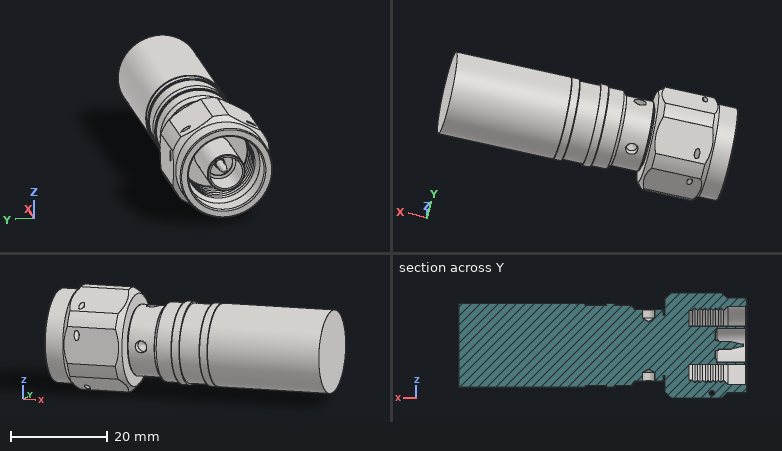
import cadquery as cq
import math

TOTAL_LENGTH = 59.95

COLLAR_RADIUS = 9.9
COLLAR_LENGTH = 4.1
COLLAR_EDGE = 0.25
HEX_ACROSS_FLATS = 20.55
HEX_ACROSS_CORNERS = 22.0
HEX_CORNER_RADIUS = HEX_ACROSS_CORNERS / 2
HEX_REAR = 17.0
FRONT_CHAMFER = HEX_CORNER_RADIUS - COLLAR_RADIUS
REAR_CHAMFER = 1.25

WIRE_HOLE_DIAMETER = 1.1
WIRE_HOLE_X = 7.25
WIRE_HOLE_OFFSET = 9.95
WIRE_HOLE_ANGLES = (30, 150, 270)

MOUTH_RADIUS = 8.4
MOUTH_CHAMFER = 0.3
BORE_LENGTH = 3.95
THREAD_LEAD_IN = 0.35
THREAD_MAJOR_RADIUS = 7.75
THREAD_MINOR_RADIUS = 7.25
THREAD_PITCH = 1.1
THREAD_TURNS = 6
CAVITY_DEPTH = 12.0

TUBE_FRONT = 0.25
TUBE_RADIUS = 4.0
TUBE_EDGE = 0.2
TUBE_BORE_RADIUS = 3.5
TUBE_BORE_DEPTH = 6.0
INSULATOR_RADIUS = 2.8
INSULATOR_RECESS = 0.3
PIN_FRONT = 0.7
PIN_TIP_RADIUS = 0.25
PIN_RADIUS = 0.85
PIN_TAPER_LENGTH = 2.7
PIN_BASE_RADIUS = 1.1
PIN_BASE_LENGTH = 0.6

GAP_RADIUS = 6.3
GAP_WIDTH = 0.35
NECK_RADIUS = 7.5
NECK_EDGE = 0.25
NECK_END = 23.4
BARREL_RADIUS = 8.4
BARREL_FRONT_RADIUS = 7.6
BARREL_TAPER = 0.7
BAND_RADIUS = 8.75
BAND_WIDTH = 1.8
BAND_EDGE = 0.2
BAND_STARTS = (27.4, 33.6)
SLEEVE_RADIUS = BAND_RADIUS
SLEEVE_EDGE = 0.1

NECK_HOLE_DIAMETER = 2.5
NECK_HOLE_X = 20.45
NECK_HOLE_DEPTH = 1.8
NECK_HOLE_COUNT = 4
DRILL_POINT_ANGLE = 118.0


def revolve_profile(points):
    """Turn a closed (x, radius) outline about the X axis."""
    return cq.Workplane("XY").polyline(points).close().revolve(360, (0, 0, 0), (1, 0, 0))


def rod(radius, start, end):
    """Round rod along X."""
    return cq.Workplane("YZ", origin=(start, 0, 0)).circle(radius).extrude(end - start)


def make_nut():
    turned = revolve_profile([
        (0, 0),
        (0, COLLAR_RADIUS - COLLAR_EDGE),
        (COLLAR_EDGE, COLLAR_RADIUS),
        (COLLAR_LENGTH, COLLAR_RADIUS),
        (COLLAR_LENGTH + FRONT_CHAMFER, HEX_CORNER_RADIUS),
        (HEX_REAR - REAR_CHAMFER, HEX_CORNER_RADIUS),
        (HEX_REAR, HEX_CORNER_RADIUS - REAR_CHAMFER),
        (HEX_REAR, 0),
    ])
    sharp_corners = HEX_ACROSS_FLATS / math.cos(math.radians(30))
    hexagon = (
        cq.Workplane("YZ")
        .transformed(rotate=(0, 0, 30))
        .polygon(6, sharp_corners)
        .extrude(HEX_REAR)
    )
    return turned.intersect(hexagon)


def make_wire_holes():
    hole = (
        cq.Workplane("XZ", origin=(WIRE_HOLE_X, 0, WIRE_HOLE_OFFSET))
        .circle(WIRE_HOLE_DIAMETER / 2)
        .extrude(COLLAR_RADIUS, both=True)
    )
    holes = cq.Workplane("XY")
    for angle in WIRE_HOLE_ANGLES:
        holes = holes.add(hole.rotate((0, 0, 0), (1, 0, 0), angle - 90))
    return holes.combine()


def make_cavity():
    bore_radius = MOUTH_RADIUS - MOUTH_CHAMFER
    thread_start = BORE_LENGTH + THREAD_LEAD_IN
    points = [
        (0, 0),
        (0, MOUTH_RADIUS),
        (MOUTH_CHAMFER, bore_radius),
        (BORE_LENGTH, bore_radius),
        (thread_start, THREAD_MAJOR_RADIUS),
    ]
    for turn in range(THREAD_TURNS):
        start = thread_start + turn * THREAD_PITCH
        points.append((start + THREAD_PITCH / 2, THREAD_MINOR_RADIUS))
        points.append((start + THREAD_PITCH, THREAD_MAJOR_RADIUS))
    thread_end = thread_start + THREAD_TURNS * THREAD_PITCH
    points += [
        (thread_end + THREAD_PITCH / 2, THREAD_MINOR_RADIUS),
        (CAVITY_DEPTH, THREAD_MINOR_RADIUS),
        (CAVITY_DEPTH, 0),
    ]
    return revolve_profile(points)


def make_contacts():
    tube = rod(TUBE_RADIUS, TUBE_FRONT, CAVITY_DEPTH).faces("<X").chamfer(TUBE_EDGE)
    floor = TUBE_FRONT + TUBE_BORE_DEPTH
    recess_floor = floor + INSULATOR_RECESS
    tube = tube.cut(rod(TUBE_BORE_RADIUS, TUBE_FRONT, floor))
    tube = tube.cut(rod(INSULATOR_RADIUS, floor, recess_floor))
    base_front = recess_floor - PIN_BASE_LENGTH
    pin = revolve_profile([
        (PIN_FRONT, 0),
        (PIN_FRONT, PIN_TIP_RADIUS),
        (PIN_FRONT + PIN_TAPER_LENGTH, PIN_RADIUS),
        (base_front, PIN_RADIUS),
        (base_front, PIN_BASE_RADIUS),
        (recess_floor, PIN_BASE_RADIUS),
        (recess_floor, 0),
    ])
    return tube.union(pin)


def make_body():
    neck_start = HEX_REAR + GAP_WIDTH
    points = [
        (CAVITY_DEPTH, 0),
        (CAVITY_DEPTH, GAP_RADIUS),
        (neck_start, GAP_RADIUS),
        (neck_start, NECK_RADIUS - NECK_EDGE),
        (neck_start + NECK_EDGE, NECK_RADIUS),
        (NECK_END, NECK_RADIUS),
        (NECK_END, BARREL_FRONT_RADIUS),
        (NECK_END + BARREL_TAPER, BARREL_RADIUS),
    ]
    for start in BAND_STARTS:
        points += [
            (start, BARREL_RADIUS),
            (start, BAND_RADIUS - BAND_EDGE),
            (start + BAND_EDGE, BAND_RADIUS),
            (start + BAND_WIDTH, BAND_RADIUS),
            (start + BAND_WIDTH, BARREL_RADIUS),
        ]
    sleeve_start = BAND_STARTS[-1] + BAND_WIDTH
    points[-1] = (sleeve_start, SLEEVE_RADIUS - SLEEVE_EDGE)
    points += [
        (sleeve_start + SLEEVE_EDGE, SLEEVE_RADIUS),
        (TOTAL_LENGTH, SLEEVE_RADIUS),
        (TOTAL_LENGTH, 0),
    ]
    return revolve_profile(points)


def make_neck_holes():
    radius = NECK_HOLE_DIAMETER / 2
    shoulder = NECK_RADIUS - NECK_HOLE_DEPTH
    tip = shoulder - radius / math.tan(math.radians(DRILL_POINT_ANGLE / 2))
    drill = (
        cq.Workplane("XZ")
        .polyline([(0, tip), (radius, shoulder), (radius, BARREL_RADIUS), (0, BARREL_RADIUS)])
        .close()
        .revolve(360, (0, 0, 0), (0, 1, 0))
        .translate((NECK_HOLE_X, 0, 0))
    )
    holes = cq.Workplane("XY")
    for index in range(NECK_HOLE_COUNT):
        holes = holes.add(drill.rotate((0, 0, 0), (1, 0, 0), index * 360 / NECK_HOLE_COUNT))
    return holes.combine()


nut = make_nut().cut(make_cavity()).cut(make_wire_holes())
body = make_body().cut(make_neck_holes())
result = nut.union(make_contacts()).union(body)